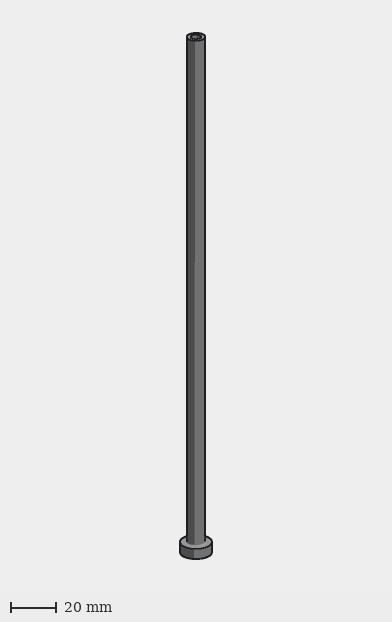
import cadquery as cq

total_length = 250.0
head_diameter = 14.0
head_height = 5.0
shank_diameter = 8.0
bore_diameter = 4.5
neck_fillet = 0.5

head = cq.Workplane("XY").circle(head_diameter / 2).extrude(head_height)
shank = cq.Workplane("XY").circle(shank_diameter / 2).extrude(total_length)
bore = cq.Workplane("XY").circle(bore_diameter / 2).extrude(total_length)

head_top = head.union(shank).faces("|Z").faces(">Z[-2]")
neck_edge = head_top.edges(cq.selectors.RadiusNthSelector(0))
sleeve = neck_edge.fillet(neck_fillet)

result = sleeve.cut(bore)